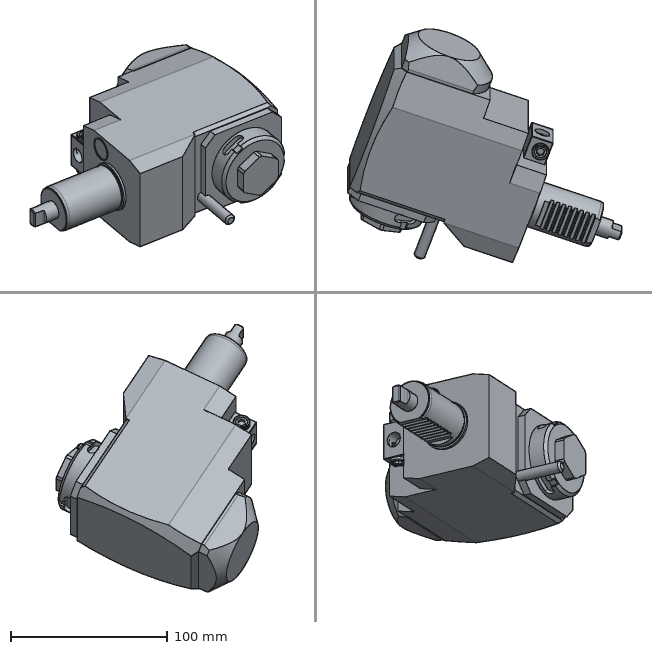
import cadquery as cq
import math

SPINDLE_Y = 85.0

HALF_HEIGHT = 32.0
BACK_Y = 115.0
HEAD_LEFT_X = -67.0
HEAD_FRONT_Y = 51.0
MID_LEFT_X = -55.0
MID_FRONT_Y = 20.7
FOOT_HALF_WIDTH = 32.0
FOOT_FLAT_HALF_WIDTH = 20.0
FOOT_SIDE_TOP_Y = 33.0
HEAD_RIGHT_X = FOOT_FLAT_HALF_WIDTH
TAPER_START_X = -43.5
TAPER_SLOPE = math.tan(math.radians(15))
CORNER_CHAMFER_X = 3.3
CORNER_CHAMFER_Y = 4.0
SIDE_CHAMFER_X = 2.5
SIDE_CHAMFER_Z = 2.0

BEVEL_RADIUS = 135.0
BEVEL_CENTRE_X = -12.6
BEVEL_TOP_Z = 29.1

PLUG_X = -12.6
PLUG_Z = 21.6
PLUG_RADIUS = 7.6
PLUG_GAP = 0.5
PLUG_GAP_DEPTH = 0.5

CAP_LEFT_X = -84.4
CAP_CONE_END_X = -73.2
CAP_FLAT_START_X = -69.0
CAP_RADIUS = 33.5
CAP_FACE_RADIUS = 21.0
CAP_BACK_Y = BACK_Y - CORNER_CHAMFER_Y

FLANGE_END_X = 25.1
FLANGE_HALF_SIZE = 29.6
FLANGE_CHAMFER = 7.4
NUT_END_X = 38.0
NUT_RADIUS = 24.5
NUT_CHAMFER = 2.0
NUT_SLOT_ANGLES = (90, -30, 210)
NUT_SLOT_X = 30.0
NUT_SLOT_WIDTH = 5.6
NUT_SLOT_LENGTH = 16.5
NUT_SLOT_DEPTH = 4.0
NUT_GROOVE_WIDTH = 5.0
NUT_GROOVE_DEPTH = 1.5
HEX_END_X = 44.6
HEX_ACROSS_FLATS = 27.0
HEX_CORNER_RADIUS = 15.0
PIN_END_X = 52.48
PIN_RADIUS = 3.6
PIN_Y = 56.3
PIN_Z = -19.0
PIN_CHAMFER = 1.3

SHANK_RADIUS = 15.2
SHANK_END_Y = -45.3
SHANK_EDGE_CHAMFER = 0.5
SHANK_LEAD_LENGTH = 2.3
SHANK_LEAD_DEPTH = 0.5
COLLAR_RADIUS = 16.0
COLLAR_LENGTH = 1.6
RELIEF_RADIUS = 14.6
RELIEF_END_Y = -2.6
TOOTH_TIP_Z = -12.4
TOOTH_ROOT_Z = -11.1
TOOTH_FLAT_START_Y = -7.2
TOOTH_PITCH = 4.0
TOOTH_GAP_COUNT = 8
FIRST_TOOTH_GAP_Y = -12.0
TOOTH_GAP_ROOT_WIDTH = 2.0
TOOTH_GAP_TIP_WIDTH = 3.2

DRIVE_RADIUS = 6.1
TANG_START_Y = -54.8
TANG_END_Y = -62.0
TANG_THICKNESS = 6.0
TANG_CHAMFER = 0.7
TANG_ROOT_RADIUS = 0.8

BLOCK_LEFT_X = -47.9
BLOCK_FRONT_Y = 1.1
BLOCK_BACK_Y = 15.8
BLOCK_HALF_HEIGHT = 12.2
BLOCK_CHAMFER = 0.4
PORT_X = -40.0
PORT_Y = 8.5
PORT_RADIUS = 4.9
SIDE_PORT_DEPTH = 2.9
FRONT_PORT_DEPTH = 9.5
SIDE_BORE_RADIUS = 1.6
SCREW_Y = 7.0
SCREW_RADIUS = 5.5
SCREW_HEIGHT = 2.2
SCREW_CHAMFER = 0.6
SCREW_RECESS_RADIUS = 3.8
SCREW_RECESS_DEPTH = 0.6
SOCKET_ACROSS_CORNERS = 5.4
SOCKET_DEPTH = 3.0


def box(x0, x1, y0, y1, z0, z1):
    return cq.Workplane("XY").box(x1 - x0, y1 - y0, z1 - z0, centered=False).translate((x0, y0, z0))


def cylinder_x(x0, x1, radius, y=SPINDLE_Y, z=0.0):
    return cq.Workplane("YZ", origin=(x0, y, z)).circle(radius).extrude(x1 - x0)


def cylinder_y(y0, y1, radius, x=0.0):
    """Cylinder that runs from y0 toward -Y to y1."""
    return cq.Workplane("XZ", origin=(x, y0, 0)).circle(radius).extrude(y0 - y1)


def prism_y(points, y0, y1):
    """Prism of an (x, z) outline that runs from y0 toward -Y to y1."""
    return cq.Workplane("XZ", origin=(0, y0, 0)).polyline(points).close().extrude(y0 - y1)


def symmetric_prism_y(upper_points, y0, y1):
    """Prism whose (x, z) outline is the upper points mirrored below Z = 0."""
    lower_points = [(x, -z) for x, z in reversed(upper_points)]
    return prism_y(upper_points + lower_points, y0, y1)


def taper_z(x):
    """Half height of the left taper at x."""
    return HALF_HEIGHT - (TAPER_START_X - x) * TAPER_SLOPE


def bevel_cone(sign):
    """45 degree cone that keeps the housing inside the bevel on one side of Z = 0."""
    centre_z = sign * (BEVEL_TOP_Z - BEVEL_RADIUS)
    base_radius = BEVEL_RADIUS + BACK_Y
    profile = cq.Workplane("XY").polyline([(0, 0), (base_radius, 0), (BEVEL_RADIUS, BACK_Y), (0, BACK_Y)])
    cone = profile.close().revolve(360, (0, 0, 0), (0, 1, 0))
    return cone.translate((BEVEL_CENTRE_X, 0, centre_z))


def make_housing():
    foot_side_z = HALF_HEIGHT - (FOOT_HALF_WIDTH - FOOT_FLAT_HALF_WIDTH) * TAPER_SLOPE
    foot_right = [(FOOT_FLAT_HALF_WIDTH, HALF_HEIGHT), (FOOT_HALF_WIDTH, foot_side_z)]
    foot_left = [(-FOOT_HALF_WIDTH, foot_side_z), (-FOOT_FLAT_HALF_WIDTH, HALF_HEIGHT)]
    head_left = [(HEAD_LEFT_X, taper_z(HEAD_LEFT_X)), (TAPER_START_X, HALF_HEIGHT)]

    plan = [
        (MID_LEFT_X, MID_FRONT_Y),
        (FOOT_HALF_WIDTH, MID_FRONT_Y),
        (FOOT_HALF_WIDTH, FOOT_SIDE_TOP_Y),
        (HEAD_RIGHT_X, HEAD_FRONT_Y),
        (HEAD_RIGHT_X, BACK_Y),
        (HEAD_LEFT_X + CORNER_CHAMFER_X, BACK_Y),
        (HEAD_LEFT_X, BACK_Y - CORNER_CHAMFER_Y),
        (HEAD_LEFT_X, HEAD_FRONT_Y),
        (MID_LEFT_X, HEAD_FRONT_Y),
    ]
    plan_prism = cq.Workplane("XY").polyline(plan).close().extrude(HALF_HEIGHT, both=True)
    head = symmetric_prism_y(head_left + foot_right, BACK_Y, MID_FRONT_Y).intersect(plan_prism)
    for sign in (1, -1):
        head = head.intersect(bevel_cone(sign))
        side_chamfer = [
            (HEAD_RIGHT_X - SIDE_CHAMFER_X, sign * HALF_HEIGHT),
            (HEAD_RIGHT_X, sign * HALF_HEIGHT),
            (HEAD_RIGHT_X, sign * (HALF_HEIGHT - SIDE_CHAMFER_Z)),
        ]
        head = head.cut(prism_y(side_chamfer, BACK_Y, HEAD_FRONT_Y))

    foot = symmetric_prism_y(foot_left + foot_right, MID_FRONT_Y, 0)
    plug_ring = cq.Workplane("XZ", origin=(PLUG_X, 0, PLUG_Z))
    plug_ring = plug_ring.circle(PLUG_RADIUS).circle(PLUG_RADIUS - PLUG_GAP).extrude(-PLUG_GAP_DEPTH)
    return head.union(foot).cut(plug_ring)


def make_cap():
    half_section = [
        (CAP_LEFT_X, 0),
        (CAP_LEFT_X, CAP_FACE_RADIUS),
        (CAP_CONE_END_X, CAP_RADIUS),
        (HEAD_LEFT_X, CAP_RADIUS),
        (HEAD_LEFT_X, 0),
    ]
    turned = cq.Workplane("XY").polyline(half_section).close().revolve(360, (0, 0, 0), (1, 0, 0))
    turned = turned.translate((0, SPINDLE_Y, 0))
    flat_z = taper_z(CAP_FLAT_START_X)
    envelope = [(CAP_LEFT_X, taper_z(CAP_LEFT_X)), (CAP_FLAT_START_X, flat_z), (HEAD_LEFT_X, flat_z)]
    return turned.intersect(symmetric_prism_y(envelope, CAP_BACK_Y, SPINDLE_Y - CAP_RADIUS))


def make_nut():
    nut = cylinder_x(FLANGE_END_X, NUT_END_X, NUT_RADIUS).faces(">X").chamfer(NUT_CHAMFER)
    slot = cq.Workplane("XY", origin=(NUT_SLOT_X, 0, NUT_RADIUS - NUT_SLOT_DEPTH))
    slot = slot.slot2D(NUT_SLOT_LENGTH, NUT_SLOT_WIDTH, 90).extrude(2 * NUT_SLOT_DEPTH)
    half_groove = NUT_GROOVE_WIDTH / 2
    groove_floor = NUT_RADIUS - NUT_GROOVE_DEPTH
    groove = box(NUT_SLOT_X, NUT_END_X, -half_groove, half_groove, groove_floor, NUT_RADIUS)
    cutter = slot.union(groove)
    for angle in NUT_SLOT_ANGLES:
        turned = cutter.rotate((0, 0, 0), (1, 0, 0), -angle)
        nut = nut.cut(turned.translate((0, SPINDLE_Y, 0)))
    return nut


def make_spindle_side():
    flange = cq.Workplane("YZ", origin=(HEAD_RIGHT_X, SPINDLE_Y, 0))
    flange = flange.rect(2 * FLANGE_HALF_SIZE, 2 * FLANGE_HALF_SIZE).extrude(FLANGE_END_X - HEAD_RIGHT_X)
    flange = flange.edges("|X").chamfer(FLANGE_CHAMFER)

    hex_across_corners = HEX_ACROSS_FLATS / math.cos(math.radians(30))
    hexagon = cq.Workplane("YZ", origin=(NUT_END_X, SPINDLE_Y, 0)).polygon(6, hex_across_corners)
    hexagon = hexagon.extrude(HEX_END_X - NUT_END_X).rotate((0, SPINDLE_Y, 0), (1, SPINDLE_Y, 0), 90)
    hexagon = hexagon.intersect(cylinder_x(NUT_END_X, HEX_END_X, HEX_CORNER_RADIUS))

    pin = cylinder_x(HEAD_RIGHT_X, PIN_END_X, PIN_RADIUS, PIN_Y, PIN_Z).faces(">X").chamfer(PIN_CHAMFER)
    return flange.union(make_nut()).union(hexagon).union(pin)


def make_tooth_gap(y):
    half_root = TOOTH_GAP_ROOT_WIDTH / 2
    half_tip = TOOTH_GAP_TIP_WIDTH / 2
    outline = [
        (y - half_root, TOOTH_ROOT_Z),
        (y + half_root, TOOTH_ROOT_Z),
        (y + half_tip, TOOTH_TIP_Z),
        (y - half_tip, TOOTH_TIP_Z),
    ]
    return cq.Workplane("YZ").polyline(outline).close().extrude(SHANK_RADIUS, both=True)


def make_shank():
    shank = cylinder_y(RELIEF_END_Y, SHANK_END_Y + SHANK_LEAD_LENGTH, SHANK_RADIUS)
    lead_cone = cq.Workplane(
        cq.Solid.makeCone(
            SHANK_RADIUS,
            SHANK_RADIUS - SHANK_LEAD_DEPTH,
            SHANK_LEAD_LENGTH,
            cq.Vector(0, SHANK_END_Y + SHANK_LEAD_LENGTH, 0),
            cq.Vector(0, -1, 0),
        )
    )
    shank = shank.union(lead_cone).faces("<Y").chamfer(SHANK_EDGE_CHAMFER)
    flat = box(-SHANK_RADIUS, SHANK_RADIUS, SHANK_END_Y, TOOTH_FLAT_START_Y, -SHANK_RADIUS, TOOTH_TIP_Z)
    shank = shank.cut(flat)
    for i in range(TOOTH_GAP_COUNT):
        shank = shank.cut(make_tooth_gap(FIRST_TOOTH_GAP_Y - i * TOOTH_PITCH))
    collar = cylinder_y(0, -COLLAR_LENGTH, COLLAR_RADIUS)
    relief = cylinder_y(-COLLAR_LENGTH, RELIEF_END_Y, RELIEF_RADIUS)
    return shank.union(collar).union(relief)


def make_drive():
    drive = cylinder_y(SHANK_END_Y, TANG_END_Y, DRIVE_RADIUS)
    half_tang = TANG_THICKNESS / 2
    relief = box(half_tang, 2 * DRIVE_RADIUS, TANG_END_Y, TANG_START_Y, -DRIVE_RADIUS, DRIVE_RADIUS)
    relief = relief.edges("|Z and <X and >Y").fillet(TANG_ROOT_RADIUS)
    drive = drive.cut(relief).cut(relief.mirror("YZ"))
    return drive.faces("<Y").chamfer(TANG_CHAMFER)


def make_screw():
    """Socket screw head that stands on top of the coolant block."""
    top_z = BLOCK_HALF_HEIGHT + SCREW_HEIGHT
    head = cq.Workplane("XY", origin=(PORT_X, SCREW_Y, BLOCK_HALF_HEIGHT)).circle(SCREW_RADIUS)
    head = head.extrude(SCREW_HEIGHT).faces(">Z").chamfer(SCREW_CHAMFER)
    top = cq.Workplane("XY", origin=(PORT_X, SCREW_Y, top_z))
    recess = top.circle(SCREW_RECESS_RADIUS).extrude(-SCREW_RECESS_DEPTH)
    socket = top.polygon(6, SOCKET_ACROSS_CORNERS).extrude(-SOCKET_DEPTH)
    return head, recess.union(socket)


def make_coolant_block():
    block = box(
        BLOCK_LEFT_X,
        -FOOT_HALF_WIDTH,
        BLOCK_FRONT_Y,
        BLOCK_BACK_Y,
        -BLOCK_HALF_HEIGHT,
        BLOCK_HALF_HEIGHT,
    )
    block = block.faces("not >X").edges("not >X").chamfer(BLOCK_CHAMFER)
    head, socket = make_screw()
    block = block.union(head).union(head.mirror("XY"))
    block = block.cut(socket).cut(socket.mirror("XY"))
    side_port = cylinder_x(BLOCK_LEFT_X, BLOCK_LEFT_X + SIDE_PORT_DEPTH, PORT_RADIUS, PORT_Y)
    front_port = cylinder_y(BLOCK_FRONT_Y + FRONT_PORT_DEPTH, BLOCK_FRONT_Y, PORT_RADIUS, PORT_X)
    side_bore = cylinder_x(BLOCK_LEFT_X, PORT_X, SIDE_BORE_RADIUS, PORT_Y)
    return block.cut(side_port).cut(front_port).cut(side_bore)


result = make_housing()
for feature in (make_cap(), make_spindle_side(), make_shank(), make_drive(), make_coolant_block()):
    result = result.union(feature)